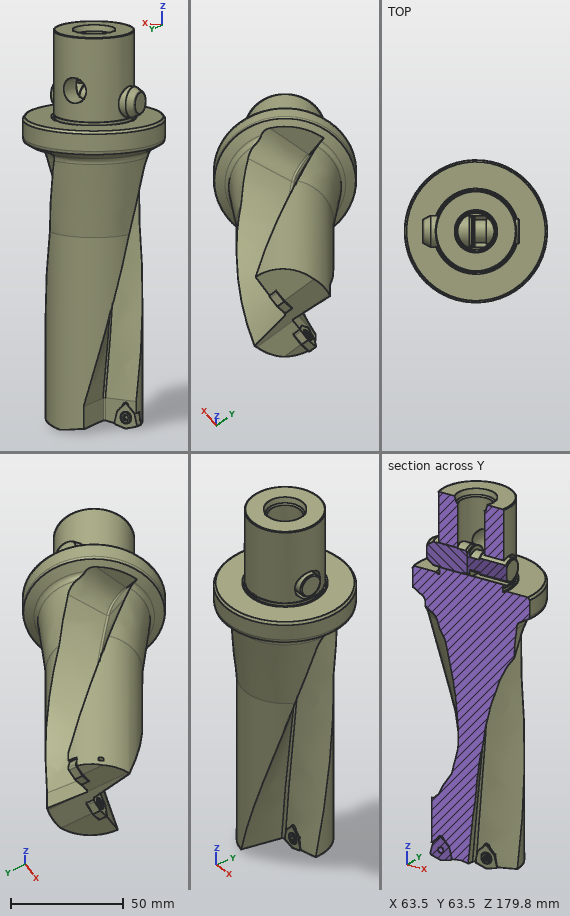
import cadquery as cq
import math

total_height = 179.8
flange_top = 140.2
flange_rim_bottom = 131.3
cone_top = 123.9
cone_bottom = 89.9

shank_radius = 18.0
shank_chamfer = 0.4
flange_radius = 63.5 / 2
flange_chamfer = 0.9
flange_chamfer_height = 1.3
flange_rim_height = 1.6
flange_rim_inset = 0.4
flare_radius = 26.8
flare_height = 2.7
flare_fillet_bulge = 0.5
neck_radius = 17.5
neck_height = 1.0
relief_radius = 19.0
relief_depth = 0.7

body_radius = 21.5
cone_top_radius = 25.0
cut_reach = 36.0

bore_radius = 8.1
counterbore_radius = 9.5
counterbore_floor_radius = 8.8
counterbore_depth = 2.7
pin_height = 148.9
cross_bore_radius = 7.0
side_hole_radius = 5.8
side_hole_height = 155.3

pin_split = -1.8
pin_chamfer = 0.5
thrust_end = -23.7
thrust_tip_length = 3.6
thrust_tip_radius = 5.4
thrust_inner_chamfer = 1.0
collar_width = 1.3
tail_neck_radius = 5.0
tail_shoulder = 4.5
tail_radius = 5.5
tail_end = 19.2

insert_corner_reach = 6.8
insert_edge_reach = 5.0
insert_corner_fillet = 0.9
insert_thickness = 4.0
insert_height = insert_edge_reach
central_insert_x = 5.4
outer_insert_x = -16.2
corner_relief_radius = 1.5
screw_head_radius = 2.7
screw_head_height = 1.8
screw_head_chamfer = 0.4
screw_radius = 1.3
screw_length = 9.0
socket_width = 2.5
socket_depth = 1.3

outlet_radius = 1.3
outlet_depth = 5.4
outlet_height = 5.0
outlet_angle = 220

tip_clearance = 1.0
tip_angle = 8.5

runout_start = 117.0
runout_radius = 10.8
flute_corner_fillet = 0.9
twist_steps = 8
runout_steps = 6

central_flute = dict(
    turn=0, twist_start=0.0, twist_rate=0.6007,
    wall_start=-1.0, wall_end=7.0,
    lean_start=-11, lean_end=0,
)
outer_flute = dict(
    turn=180, twist_start=13.1, twist_rate=0.6452,
    wall_start=5.0, wall_end=10.8,
    lean_start=4, lean_end=0,
)


def turned_along_x(points):
    """Solid of revolution about the pin axis from (x, radius) points."""
    outline = cq.Workplane("XY").polyline(points).close()
    solid = outline.revolve(360, (0, 0, 0), (1, 0, 0))
    return solid.translate((0, 0, pin_height))


def flute_section(flute, height, wall, lean):
    """Closed wire of a flute at one height: floor, rounded corner and wall."""
    lean = math.radians(lean)
    down_wall = (math.sin(lean), -math.cos(lean))
    half_corner = math.radians(45) + lean / 2
    setback = flute_corner_fillet / math.tan(half_corner)
    arc_centre = (wall + setback, -flute_corner_fillet)
    toward_corner = math.pi - half_corner
    arc_middle = (
        arc_centre[0] + flute_corner_fillet * math.cos(toward_corner),
        arc_centre[1] + flute_corner_fillet * math.sin(toward_corner),
    )
    outline = (
        cq.Workplane("XY")
        .moveTo(wall + setback, 0)
        .threePointArc(arc_middle, (wall + setback * down_wall[0], setback * down_wall[1]))
        .lineTo(wall + cut_reach * math.tan(lean), -cut_reach)
        .lineTo(cut_reach, -cut_reach)
        .lineTo(cut_reach, 0)
        .close()
        .val()
    )
    twist = max(0, height - flute["twist_start"]) * flute["twist_rate"]
    turned = outline.rotate(cq.Vector(0, 0, 0), cq.Vector(0, 0, 1), flute["turn"] + twist)
    return turned.translate(cq.Vector(0, 0, height))


def straight_flute(flute):
    """Untwisted lower end, open through the tip."""
    wall = flute["wall_start"]
    lean = flute["lean_start"]
    ends = [flute_section(flute, height, wall, lean) for height in (0, flute["twist_start"])]
    return cq.Workplane(cq.Solid.makeLoft(ends, True))


def twisted_flute(flute):
    """Helical length, whose wall moves outward as it climbs."""
    sections = []
    for i in range(twist_steps + 1):
        part = i / twist_steps
        height = flute["twist_start"] + part * (runout_start - flute["twist_start"])
        wall = flute["wall_start"] + part * (flute["wall_end"] - flute["wall_start"])
        lean = flute["lean_start"] + part * (flute["lean_end"] - flute["lean_start"])
        sections.append(flute_section(flute, height, wall, lean))
    return cq.Workplane(cq.Solid.makeLoft(sections))


def flute_runout(flute):
    """Upper end, where the twisting wall curves over into a level ceiling."""
    sections = []
    for i in range(runout_steps + 1):
        angle = math.pi / 2 * i / runout_steps
        height = runout_start + runout_radius * math.sin(angle)
        wall = flute["wall_end"] + runout_radius * (1 - math.cos(angle))
        sections.append(flute_section(flute, height, wall, flute["lean_end"]))
    return cq.Workplane(cq.Solid.makeLoft(sections))


def trigon():
    """Six-sided insert blank with one cutting corner up."""
    points = []
    for i in range(6):
        reach = insert_edge_reach if i % 2 else insert_corner_reach
        angle = math.radians(90 + 60 * i)
        points.append((reach * math.cos(angle), reach * math.sin(angle)))
    blank = cq.Workplane("XZ").polyline(points).close().extrude(-insert_thickness)
    corners = [
        blank.edges(cq.NearestToPointSelector((x, insert_thickness / 2, z))).val()
        for x, z in points[::2]
    ]
    return blank.newObject(corners).fillet(insert_corner_fillet)


def screw_blank():
    """Countersunk screw with a chamfered head rim."""
    outline = [
        (0, 0),
        (screw_head_radius - screw_head_chamfer, 0),
        (screw_head_radius, screw_head_chamfer),
        (screw_radius, screw_head_height),
        (screw_radius, screw_length),
        (0, screw_length),
    ]
    return cq.Workplane("XY").polyline(outline).close().revolve(360, (0, 0, 0), (0, 1, 0))


def make_insert():
    hole = (
        cq.Workplane("XZ")
        .circle(screw_head_radius)
        .extrude(-screw_head_chamfer)
    )
    return trigon().cut(screw_blank()).cut(hole)


def make_screw():
    socket = (
        cq.Workplane("XZ")
        .polygon(6, socket_width / math.cos(math.pi / 6))
        .extrude(-socket_depth)
    )
    return screw_blank().cut(socket)


def seat(shape, insert_x, turn):
    """Place a shape at an insert seat, facing -Y or turned round to face +Y."""
    return shape.rotate((0, 0, 0), (0, 0, 1), turn).translate((insert_x, 0, insert_height))


seats = [
    (central_insert_x, 0),
    (outer_insert_x, 180),
]


def make_seat_cutter():
    """Pocket for an insert, its corner relief and the hole for its screw."""
    relief_height = insert_corner_reach - corner_relief_radius
    relief = (
        cq.Workplane("XZ")
        .center(0, relief_height)
        .circle(corner_relief_radius)
        .extrude(-insert_thickness)
    )
    screw_hole = cq.Workplane("XZ").circle(screw_radius).extrude(-screw_length)
    return trigon().union(relief).union(screw_hole)


def turned_housing():
    flare_bottom = flange_rim_bottom - flange_rim_height - flare_height
    relief_floor = flange_top - relief_depth
    neck_top = flange_top + neck_height
    return (
        cq.Workplane("XZ")
        .moveTo(0, 0)
        .lineTo(body_radius, 0)
        .lineTo(body_radius, cone_bottom)
        .lineTo(cone_top_radius, cone_top)
        .threePointArc(
            (cone_top_radius + flare_fillet_bulge, (cone_top + flare_bottom) / 2 + flare_fillet_bulge),
            (flare_radius, flare_bottom),
        )
        .lineTo(flange_radius - flange_rim_inset, flange_rim_bottom - flange_rim_height)
        .lineTo(flange_radius, flange_rim_bottom)
        .lineTo(flange_radius, flange_top - flange_chamfer_height)
        .lineTo(flange_radius - flange_chamfer, flange_top)
        .lineTo(relief_radius, flange_top)
        .lineTo(relief_radius - relief_depth, relief_floor)
        .lineTo(neck_radius, relief_floor)
        .lineTo(neck_radius, neck_top)
        .lineTo(shank_radius, neck_top)
        .lineTo(shank_radius, total_height - shank_chamfer)
        .lineTo(shank_radius - shank_chamfer, total_height)
        .lineTo(0, total_height)
        .close()
        .revolve(360, (0, 0, 0), (0, 1, 0))
    )


def tip_cutter():
    """Waste below the tip: its lowest lines run under the centres of the inserts."""
    slope = math.tan(math.radians(tip_angle))
    peak_x = (outer_insert_x + central_insert_x) / 2
    peak = tip_clearance + slope * (central_insert_x - peak_x)
    points = [
        (-cut_reach, tip_clearance + slope * (cut_reach + outer_insert_x)),
        (outer_insert_x, tip_clearance),
        (peak_x, peak),
        (central_insert_x, tip_clearance),
        (cut_reach, tip_clearance + slope * (cut_reach - central_insert_x)),
        (cut_reach, -cut_reach),
        (-cut_reach, -cut_reach),
    ]
    return cq.Workplane("XZ").polyline(points).close().extrude(cut_reach, both=True)


def outer_seat_opening():
    """Clearance that bares the flank of the outer insert at the side of the body."""
    top = insert_height + insert_edge_reach / 2
    return (
        cq.Workplane("XY")
        .box(cut_reach, insert_thickness, top, centered=False)
        .translate((outer_insert_x - cut_reach, -insert_thickness, 0))
    )


def coolant_outlet():
    drill = (
        cq.Workplane("YZ", origin=(body_radius - outlet_depth, 0, outlet_height))
        .circle(outlet_radius)
        .extrude(2 * outlet_depth)
    )
    return drill.rotate((0, 0, 0), (0, 0, 1), outlet_angle)


def shank_bore():
    cone_depth = counterbore_floor_radius - bore_radius
    cone_start = total_height - counterbore_depth
    outline = [
        (0, pin_height),
        (bore_radius, pin_height),
        (bore_radius, cone_start - cone_depth),
        (counterbore_floor_radius, cone_start),
        (counterbore_radius, total_height),
        (0, total_height),
    ]
    return cq.Workplane("XZ").polyline(outline).close().revolve(360, (0, 0, 0), (0, 1, 0))


def make_housing():
    housing = turned_housing()
    for flute in (central_flute, outer_flute):
        if flute["twist_start"] > 0:
            housing = housing.cut(straight_flute(flute))
        housing = housing.cut(twisted_flute(flute))
        housing = housing.cut(flute_runout(flute))
    housing = housing.cut(tip_cutter())
    for insert_x, turn in seats:
        housing = housing.cut(seat(make_seat_cutter(), insert_x, turn))
    housing = housing.cut(outer_seat_opening())
    housing = housing.cut(coolant_outlet())
    housing = housing.cut(shank_bore())
    cross_bore = cq.Workplane("YZ").center(0, pin_height).circle(cross_bore_radius)
    housing = housing.cut(cross_bore.extrude(shank_radius, both=True))
    side_hole = cq.Workplane("XZ").center(0, side_hole_height).circle(side_hole_radius)
    return housing.cut(side_hole.extrude(-shank_radius))


def make_thrust_pin():
    return turned_along_x([
        (thrust_end, 0),
        (thrust_end, thrust_tip_radius - pin_chamfer),
        (thrust_end + pin_chamfer, thrust_tip_radius),
        (thrust_end + thrust_tip_length, cross_bore_radius),
        (pin_split - thrust_inner_chamfer, cross_bore_radius),
        (pin_split, cross_bore_radius - thrust_inner_chamfer),
        (pin_split, 0),
    ])


def make_tail_pin():
    collar_end = pin_split + collar_width
    return turned_along_x([
        (pin_split, 0),
        (pin_split, cross_bore_radius - pin_chamfer),
        (pin_split + pin_chamfer, cross_bore_radius),
        (collar_end, cross_bore_radius),
        (collar_end, tail_neck_radius),
        (tail_shoulder, tail_neck_radius),
        (tail_shoulder, tail_radius),
        (tail_end - pin_chamfer, tail_radius),
        (tail_end, tail_radius - pin_chamfer),
        (tail_end, 0),
    ])


housing = make_housing()
thrust_pin = make_thrust_pin()
tail_pin = make_tail_pin()
inserts = [seat(make_insert(), x, turn) for x, turn in seats]
screws = [seat(make_screw(), x, turn) for x, turn in seats]

result = cq.Compound.makeCompound([
    housing.val(),
    thrust_pin.val(),
    tail_pin.val(),
    *[insert.val() for insert in inserts],
    *[screw.val() for screw in screws],
])